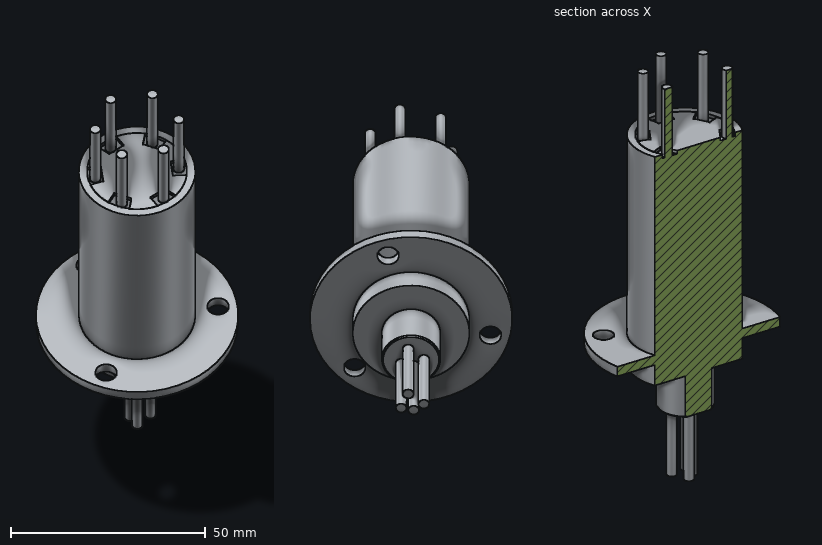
import cadquery as cq
import math

total_height = 116.5
neck_bottom = 19.9
body_bottom = 31.8
flange_bottom = 37.7
flange_thickness = 2.9
body_top = 97.9

flange_diameter = 52.0
body_diameter = 29.9
neck_diameter = 15.0
neck_chamfer = 0.3

hole_count = 3
hole_diameter = 5.5
hole_circle_radius = 21.0

plate_radius = 12.8
plate_recess = 0.1

wire_diameter = 2.8
upper_wire_count = 6
upper_wire_radius = 10.8
upper_wire_angle = 1.0
pocket_depth = 1.0
pocket_inner_x = 9.0
pocket_outer_x = 14.0
radial_flank_angle = 13.2
square_flank_angle = 4.0
square_flank_inner_y = -2.7

lower_wire_centres = [(-3.1, 0.9), (-1.0, -1.5), (2.2, -1.6), (1.5, 3.1)]


def cylinder(diameter, bottom, top):
    """Upright cylinder on the part axis between two heights."""
    return cq.Workplane("XY").workplane(offset=bottom).circle(diameter / 2).extrude(top - bottom)


def make_housing():
    neck = cylinder(neck_diameter, neck_bottom, body_bottom).faces("<Z").chamfer(neck_chamfer)
    body = cylinder(body_diameter, body_bottom, body_top)
    flange = cylinder(flange_diameter, flange_bottom, flange_bottom + flange_thickness)
    holes = (
        cq.Workplane("XY")
        .workplane(offset=flange_bottom)
        .polarArray(hole_circle_radius, 180, 360, hole_count)
        .circle(hole_diameter / 2)
        .extrude(flange_thickness)
    )
    recess = cylinder(2 * plate_radius, body_top - plate_recess, body_top)
    return body.union(neck).union(flange.cut(holes)).cut(recess)


def make_pockets():
    """Six tapered pockets whose outer walls follow the edge of the end plate."""
    radial_slope = math.tan(math.radians(radial_flank_angle))
    square_slope = math.tan(math.radians(square_flank_angle))
    square_flank_outer_y = square_flank_inner_y - (pocket_outer_x - pocket_inner_x) * square_slope
    floor = body_top - pocket_depth
    wedge = (
        cq.Workplane("XY")
        .workplane(offset=floor)
        .polyline([
            (pocket_inner_x, square_flank_inner_y),
            (pocket_outer_x, square_flank_outer_y),
            (pocket_outer_x, pocket_outer_x * radial_slope),
            (pocket_inner_x, pocket_inner_x * radial_slope),
        ])
        .close()
        .extrude(pocket_depth)
    )
    pocket = wedge.intersect(cylinder(2 * plate_radius, floor, body_top))
    pockets = cq.Workplane("XY")
    for index in range(upper_wire_count):
        angle = index * 360 / upper_wire_count
        pockets = pockets.add(pocket.rotate((0, 0, 0), (0, 0, 1), angle))
    return pockets.combine()


def make_upper_wires():
    floor = body_top - pocket_depth
    return (
        cq.Workplane("XY")
        .workplane(offset=floor)
        .polarArray(upper_wire_radius, upper_wire_angle, 360, upper_wire_count)
        .circle(wire_diameter / 2)
        .extrude(total_height - floor)
    )


def make_lower_wires():
    return (
        cq.Workplane("XY")
        .pushPoints(lower_wire_centres)
        .circle(wire_diameter / 2)
        .extrude(neck_bottom)
    )


result = make_housing().cut(make_pockets()).union(make_upper_wires()).union(make_lower_wires())